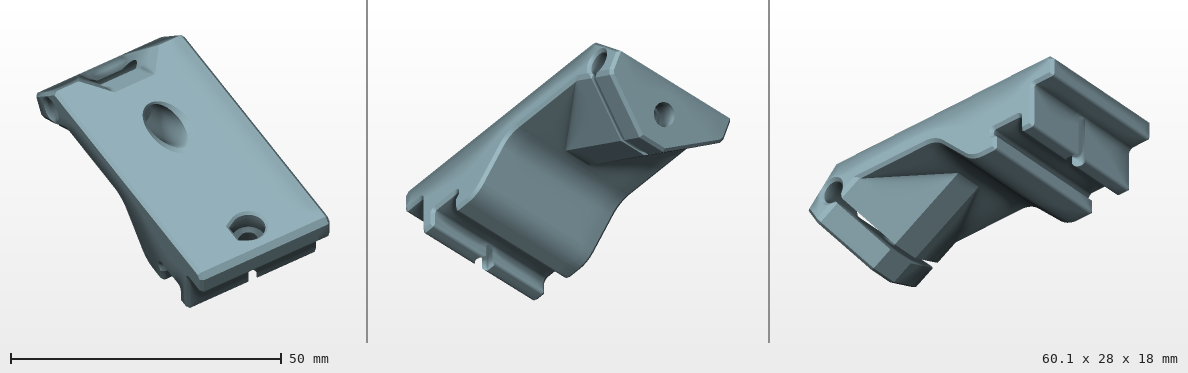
import cadquery as cq
import math

length = 60.1
width = 28.0
height = 17.95
half_width = width / 2
edge_chamfer = 0.6

nose_drop = 7.4
nose_run = 7.05
tail_chamfer = 1.1
plate_thickness = 6.0
lip_thickness = 4.8
blend_radius = 6.0
corner_radius = 0.6
tip_radius = 0.65

foot_bottom = 15.0
ramp_start = 31.2
foot_front = 46.1
leg_inner = 52.1
leg_outer = 55.2
leg_bottom = 14.05
rail_roof = 10.45
rail_undercut = 0.85
undercut_height = 0.95

tilt = math.radians(30)
cos_tilt = math.cos(tilt)
sin_tilt = math.sin(tilt)
clamp_side_depth = 4.7
clamp_bottom_half = 2.9
clamp_depth = (height - nose_drop + edge_chamfer * sin_tilt) / cos_tilt
clamp_top_depth = 1.2
plate_nose_depth = 2.4

rod_diameter = 4.5
rod_along = 5.95
rod_depth = 1.85
slot_width = 1.25
slot_lip_radius = 1.0

pocket_half = 4.3
pocket_wall_slope = 1.5
well_half = 2.75
well_depth = 1.5
well_angle = math.radians(60)

screw_depth = 6.3
screw_diameter = 3.5
insert_diameter = 4.7
insert_length = 4.8
head_diameter = 6.0
head_chamfer = 1.0
shoulder_along = 12.0

tail_screw_x = 53.65
tail_screw_diameter = 3.5
tail_head_diameter = 6.25
tail_head_depth = 3.8
tail_head_chamfer = 0.5

pick = 0.05

side_plane = cq.Plane(origin=(0, 0, 0), xDir=(1, 0, 0), normal=(0, -1, 0))
clamp_plane = cq.Plane(origin=(0, 0, -nose_drop), xDir=(cos_tilt, 0, sin_tilt), normal=(0, -1, 0))
section_plane = cq.Plane(origin=(0, 0, -nose_drop), xDir=(0, -1, 0), normal=(cos_tilt, 0, sin_tilt))


def tilted_point(along, depth):
    """X and Z of a point given in the clamp's tilted frame."""
    x = along * cos_tilt + depth * sin_tilt
    z = -nose_drop + along * sin_tilt - depth * cos_tilt
    return x, z


def cross_edges(x, z):
    """Selector for the edges centred on Y = 0 that run across the part at this X and Z."""
    return cq.selectors.BoxSelector((x - pick, -pick, z - pick), (x + pick, pick, z + pick))


def make_plate():
    """Plate, foot and leg as one side outline, with rounded corners and chamfered sides."""
    nose_bottom = tilted_point(0, plate_nose_depth)
    step_along = (plate_nose_depth * cos_tilt + nose_drop - plate_thickness) / sin_tilt
    underside_start = tilted_point(step_along, plate_nose_depth)
    ramp_top = (ramp_start, -plate_thickness)
    ramp_bottom = (ramp_start + foot_bottom - plate_thickness, -foot_bottom)
    foot_tip = (foot_front, -foot_bottom)
    undercut_x = foot_front - rail_undercut
    undercut_top = (undercut_x, -rail_roof)
    undercut_bottom = (undercut_x, -rail_roof - undercut_height)
    rail_corner = (leg_inner, -rail_roof)
    leg_inner_tip = (leg_inner, -leg_bottom)
    leg_outer_tip = (leg_outer, -leg_bottom)
    lip_corner = (leg_outer, -lip_thickness)
    lip_tip = (length, -lip_thickness)
    outline = [
        (0, -nose_drop),
        (nose_run, 0),
        (length - tail_chamfer, 0),
        (length, -tail_chamfer),
        lip_tip,
        lip_corner,
        leg_outer_tip,
        leg_inner_tip,
        rail_corner,
        undercut_top,
        undercut_bottom,
        (foot_front, -rail_roof - undercut_height - rail_undercut),
        foot_tip,
        ramp_bottom,
        ramp_top,
        underside_start,
        nose_bottom,
    ]
    plate = cq.Workplane(side_plane).polyline(outline).close().extrude(half_width, both=True)
    rounded_corners = (
        (blend_radius, (ramp_bottom, ramp_top)),
        (corner_radius, (lip_corner, rail_corner, undercut_top, undercut_bottom)),
        (tip_radius, (lip_tip, leg_outer_tip, leg_inner_tip, foot_tip)),
    )
    for radius, corners in rounded_corners:
        for corner in corners:
            plate = plate.edges(cross_edges(*corner)).fillet(radius)
    return plate.faces("<Y or >Y").edges().chamfer(edge_chamfer)


def make_clamp():
    """Tilted block whose underside narrows to a flat, with its nose and side edges chamfered."""
    section = [
        (-half_width, clamp_top_depth),
        (half_width, clamp_top_depth),
        (half_width, clamp_side_depth),
        (clamp_bottom_half, clamp_depth),
        (-clamp_bottom_half, clamp_depth),
        (-half_width, clamp_side_depth),
    ]
    clamp_length = length / 2
    clamp = cq.Workplane(section_plane).polyline(section).close().extrude(clamp_length)
    x, z = tilted_point(clamp_length / 2, clamp_side_depth)
    for y in (-half_width, half_width):
        side_edge = cq.selectors.NearestToPointSelector((x, y, z))
        clamp = clamp.edges(side_edge).chamfer(edge_chamfer)
    nose_face = clamp.faces(cq.selectors.DirectionMinMaxSelector(section_plane.zDir, False))
    top_edge = cross_edges(*tilted_point(0, clamp_top_depth))
    outer_edges = cq.selectors.SubtractSelector(cq.selectors.TypeSelector("LINE"), top_edge)
    clamp = nose_face.edges(outer_edges).chamfer(edge_chamfer)
    below_plate_middle = cq.Workplane("XY").workplane(offset=-plate_thickness / 2)
    return clamp.intersect(below_plate_middle.rect(2 * length, width).extrude(-length))


def make_rod_slot():
    """Cross bore opened by a slot down to the clamp's bottom, with round lips and flared ends."""
    radius = rod_diameter / 2
    half_slot = slot_width / 2
    centre_distance = radius + slot_lip_radius
    lip_across = half_slot + slot_lip_radius
    lip_below = math.sqrt(centre_distance**2 - lip_across**2)
    bore_end_across = radius / centre_distance * lip_across
    bore_end_below = radius / centre_distance * lip_below
    lip_mid_angle = math.acos(lip_across / centre_distance) / 2
    lip_mid_across = lip_across - slot_lip_radius * math.cos(lip_mid_angle)
    lip_mid_below = lip_below - slot_lip_radius * math.sin(lip_mid_angle)
    slot_end = length / 2

    def outline(offset):
        centre = cq.Workplane(clamp_plane).workplane(offset=offset).center(rod_along, -rod_depth)
        return (
            centre.moveTo(bore_end_across, -bore_end_below)
            .threePointArc((0, radius), (-bore_end_across, -bore_end_below))
            .threePointArc((-lip_mid_across, -lip_mid_below), (-half_slot, -lip_below))
            .lineTo(-half_slot, -slot_end)
            .lineTo(half_slot, -slot_end)
            .lineTo(half_slot, -lip_below)
            .threePointArc((lip_mid_across, -lip_mid_below), (bore_end_across, -bore_end_below))
            .close()
        )

    through = outline(0).extrude(half_width, both=True)
    flare = outline(half_width - edge_chamfer).extrude(edge_chamfer, taper=-45)
    return through.union(flare).union(flare.mirror("XZ"))


def make_pocket():
    """Channel with sloping walls along the tilt, floored at depth 0 except over the well."""
    rise = nose_drop
    top_half = pocket_half + pocket_wall_slope * rise
    bottom_half = pocket_half - pocket_wall_slope * well_depth
    section = [
        (-top_half, -rise),
        (top_half, -rise),
        (bottom_half, well_depth),
        (-bottom_half, well_depth),
    ]
    reach = length / 2
    channel = cq.Workplane(section_plane).workplane(offset=-reach)
    channel = channel.polyline(section).close().extrude(2 * reach)
    well_bottom_half = well_half - well_depth / math.tan(well_angle)
    floor_profile = [
        (-reach, 0),
        (rod_along - well_half, 0),
        (rod_along - well_bottom_half, -well_depth),
        (rod_along + well_bottom_half, -well_depth),
        (rod_along + well_half, 0),
        (reach, 0),
        (reach, rise),
        (-reach, rise),
    ]
    above_floor = cq.Workplane(clamp_plane).polyline(floor_profile).close().extrude(width, both=True)
    return channel.intersect(above_floor)


def along_screw(diameter, start, end):
    """Cylinder on the clamp screw axis between two distances from the nose face."""
    base = cq.Workplane(section_plane).workplane(offset=start).center(0, screw_depth)
    return base.circle(diameter / 2).extrude(end - start)


def cut_clamp_screw(part):
    """Insert hole in the nose face, clearance hole across the slot, chamfered head bore in the top."""
    part = part.cut(along_screw(head_diameter, shoulder_along, length))
    entry_x, entry_z = tilted_point(0, screw_depth)
    rim_x = entry_x - entry_z / math.tan(tilt)
    rim = cq.selectors.NearestToPointSelector((rim_x, head_diameter / 2, 0))
    part = part.edges(rim).chamfer(head_chamfer)
    part = part.cut(along_screw(screw_diameter, 0, shoulder_along))
    return part.cut(along_screw(insert_diameter, 0, insert_length))


def teardrop(diameter):
    """Circle whose -Y side runs out along two 60 degree tangents to a flat."""
    radius = diameter / 2
    slope = math.radians(60)
    tangent_x = radius * math.sin(slope)
    tangent_y = -radius * math.cos(slope)
    flat_half = radius * math.tan(slope / 2)
    return (
        cq.Workplane("XY")
        .center(tail_screw_x, 0)
        .moveTo(tangent_x, tangent_y)
        .threePointArc((0, radius), (-tangent_x, tangent_y))
        .lineTo(-flat_half, -radius)
        .lineTo(flat_half, -radius)
        .close()
    )


def make_tail_screw():
    """Through hole with a chamfered counterbore in the top face."""
    hole = teardrop(tail_screw_diameter).extrude(-height)
    head = teardrop(tail_head_diameter).extrude(-tail_head_depth)
    rim = teardrop(tail_head_diameter + 2 * tail_head_chamfer)
    rim = rim.extrude(-tail_head_chamfer, taper=45)
    return hole.union(head).union(rim)


body = make_plate().union(make_clamp())
body = body.cut(make_rod_slot()).cut(make_pocket())
body = cut_clamp_screw(body)
result = body.cut(make_tail_screw()).solids()